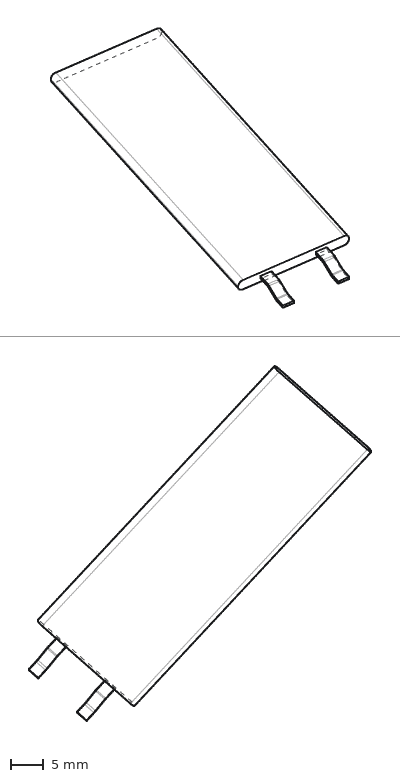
import math

import cadquery as cq

overall_length = 60.5
cell_width = 20.0
cell_height = 2.0
edge_radius = 0.9

tab_length = 6.5
tab_width = 2.0
tab_thickness = 0.5
tab_spacing = 10.0
root_length = 2.2
tip_length = 1.9
tab_drop = 1.0
inner_bend_radius = 0.5

cell_length = overall_length - tab_length
outer_bend_radius = inner_bend_radius + tab_thickness
half_thickness = tab_thickness / 2

first_bend = cell_length + root_length
second_bend = overall_length - tip_length
bend_angle = math.atan2(tab_drop, second_bend - first_bend)
mitre = half_thickness * math.tan(bend_angle / 2)


def make_cell():
    """Flat battery cell, centred on Y and Z, with its four long edges rounded."""
    cell = cq.Workplane("XY").box(cell_length, cell_width, cell_height, centered=(False, True, True))
    return cell.edges("|X").fillet(edge_radius)


def make_tab(y_center):
    """Strip of constant thickness from mid-height on the +X face of the cell, with two round bends."""
    tip_top = half_thickness - tab_drop
    tip_bottom = -half_thickness - tab_drop
    first_top = (first_bend + mitre, half_thickness)
    first_bottom = (first_bend - mitre, -half_thickness)
    second_top = (second_bend + mitre, tip_top)
    second_bottom = (second_bend - mitre, tip_bottom)
    profile = [
        (cell_length, half_thickness),
        first_top,
        second_top,
        (overall_length, tip_top),
        (overall_length, tip_bottom),
        second_bottom,
        first_bottom,
        (cell_length, -half_thickness),
    ]
    start_y = y_center + tab_width / 2
    tab = cq.Workplane("XZ", origin=(0, start_y, 0)).polyline(profile).close().extrude(tab_width)

    for corner, radius in (
        (first_top, outer_bend_radius),
        (first_bottom, inner_bend_radius),
        (second_top, inner_bend_radius),
        (second_bottom, outer_bend_radius),
    ):
        x, z = corner
        tab = tab.edges(cq.selectors.NearestToPointSelector((x, y_center, z))).fillet(radius)
    return tab


cell = make_cell()
tabs = [make_tab(side * tab_spacing / 2) for side in (-1, 1)]

result = cq.Compound.makeCompound([cell.val(), *[tab.val() for tab in tabs]])